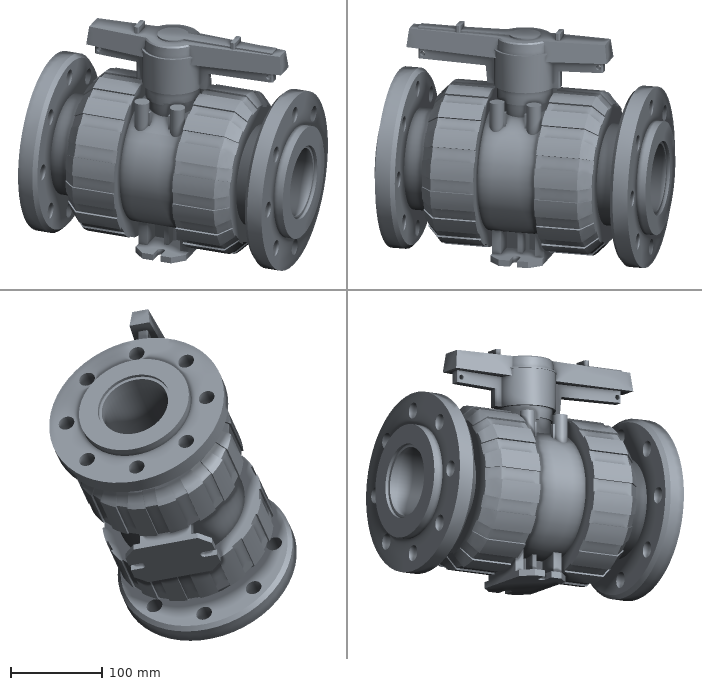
import cadquery as cq
import math


OVERALL_HEIGHT = 259.3

END_FACE_X = 154.0
COLLAR_X = 143.5
FLANGE_BACK_X = 122.3
NUT_OUTER_X = 96.7
NUT_INNER_X = 34.5

BORE_R = 38.0
END_RECESS_R = 41.3
END_RECESS_DEPTH = 3.7

PIPE_R = 56.5
COLLAR_R = 62.8
FLANGE_R = 99.95
FLANGE_CHAMFER = 4.3
BOLT_COUNT = 8
BOLT_CIRCLE_R = 80.0
BOLT_HOLE_R = 9.0

NUT_R = 91.0
NUT_CHAMFER = 13.2
NUT_SHOULDER_X = NUT_OUTER_X - NUT_CHAMFER
GROOVE_COUNT = 16
GROOVE_WIDTH = 14.5
GROOVE_DEPTH = 2.5

BODY_R = 72.0
NECK_R = 28.5
NECK_TOP_Z = 83.2
POST_R = 8.3
POST_X = 21.0
POST_Y = 40.0
POST_TOP_Z = 85.5
POST_RIB_WIDTH = 4.3
POST_RIB_TOP_Z = 74.5
POST_X_RIB_REACH = 10.2
POST_Y_RIB_REACH = 9.2
POST_Y_RIB_SHIFT = 3.0

FOOT_BOTTOM_Z = -FLANGE_R
FOOT_THICKNESS = 7.0
FOOT_HALF_X = 29.5
FOOT_HALF_Y = 49.3
FOOT_CHAMFER = 12.5
FOOT_SLOT_R = 4.3
FOOT_SLOT_DEPTH = 17.5
LEG_WIDTH = 10.2
LEG_HALF_Y = 29.0
WEB_HALF_Y = 4.5
FOOT_BOSS_R = 7.7
FOOT_RIB_WIDTH = 5.5
FOOT_RIB_HALF_Y = 20.3

STEM_R = 30.5
STEM_SKIRT_Z = 80.5
STEM_NOTCH_ANGLE = 75.0

HUB_R = 34.0
HUB_BOTTOM_Z = 95.8
BEAD_R = 34.8
BEAD_Z = 137.0
BEAD_HEIGHT = 1.5
CAP_BOTTOM_R = 32.0
CAP_TOP_R = 30.8
CAP_CHAMFER = 1.5
HANDLE_TOP_Z = 151.8
WING_BOTTOM_Z = 129.0
WING_RISE = 2.0
WING_DRAFT = 7.0
WING_ROOT_X = 26.0
WING_ROOT_HALF_Y = 19.0
SHORT_WING_X = 97.0
SHORT_WING_HALF_Y = 14.5
LONG_WING_X = 132.0
LONG_WING_HALF_Y = 11.7

RIB_WIDTH = 11.7
RIB_CHAMFER = 1.2
RIB_SHORT_X = 90.0
RIB_LONG_X = 119.8
RIB_TIP_Z = 117.5
RIB_ROOT_Z = 115.5
RIB_SHORT_ROOT_X = 41.0
RIB_LONG_ROOT_X = 43.0
RIB_LONG_FOOT_X = 41.3
RIB_HOLE_R = 2.8
RIB_HOLE_Z = 123.2
RIB_HOLE_INSET = 5.0

CLIP_TOP_Z = FOOT_BOTTOM_Z + OVERALL_HEIGHT
CLIP_LENGTH_X = 5.5
CLIP_WIDTH_Y = 19.7
CLIP_CORNER_CHAMFER = 1.2
CLIP_XS = (-39.5, 74.0)
INSERT_R = 17.2
INSERT_BAR_WIDTH = 15.5
INSERT_THICKNESS = 2.0


def x_cylinder(radius, x_start, x_end):
    """Cylinder on the flow axis between two stations."""
    return cq.Workplane("YZ").workplane(offset=x_start).circle(radius).extrude(x_end - x_start)


def z_cylinder(radius, z_start, z_end, x=0.0, y=0.0):
    """Vertical cylinder between two heights."""
    return cq.Workplane("XY").workplane(offset=z_start).center(x, y).circle(radius).extrude(z_end - z_start)


def block(x_limits, y_limits, z_limits):
    """Box given by its limits along each axis."""
    sizes = [high - low for low, high in (x_limits, y_limits, z_limits)]
    corner = (x_limits[0], y_limits[0], z_limits[0])
    return cq.Workplane("XY").box(*sizes, centered=False).translate(corner)


def other_end(shape):
    """Copy of a +X end part turned half a revolution about Z, onto the -X end."""
    return shape.rotate((0, 0, 0), (0, 0, 1), 180)


def make_end_connector():
    """Pipe that butts against the barrel and ends in a raised sealing collar."""
    connector = x_cylinder(PIPE_R, NUT_SHOULDER_X, COLLAR_X)
    connector = connector.union(x_cylinder(COLLAR_R, COLLAR_X, END_FACE_X))
    connector = connector.cut(x_cylinder(BORE_R, NUT_SHOULDER_X, END_FACE_X))
    return connector.cut(x_cylinder(END_RECESS_R, END_FACE_X - END_RECESS_DEPTH, END_FACE_X))


def make_flange():
    """Loose flange around the pipe, chamfered on its back edge, with a ring of bolt holes."""
    flange = x_cylinder(FLANGE_R, FLANGE_BACK_X, COLLAR_X).faces("<X").chamfer(FLANGE_CHAMFER)
    flange = flange.cut(x_cylinder(PIPE_R, FLANGE_BACK_X, COLLAR_X))
    bolt_holes = (
        cq.Workplane("YZ")
        .workplane(offset=FLANGE_BACK_X)
        .polarArray(BOLT_CIRCLE_R, 0, 360, BOLT_COUNT)
        .circle(BOLT_HOLE_R)
        .extrude(COLLAR_X - FLANGE_BACK_X)
    )
    return flange.cut(bolt_holes)


def make_groove_cutter():
    """Straight grip groove at the top of a nut, following the cylinder and then the chamfer."""
    floor_r = NUT_R - GROOVE_DEPTH
    profile = [
        (NUT_INNER_X, floor_r),
        (NUT_SHOULDER_X, floor_r),
        (NUT_OUTER_X, floor_r - NUT_CHAMFER),
        (NUT_OUTER_X, NUT_R),
        (NUT_INNER_X, NUT_R),
    ]
    return cq.Workplane("XZ").polyline(profile).close().extrude(GROOVE_WIDTH / 2, both=True)


def make_nut():
    """Union nut with grip grooves, gripping the barrel and retaining the pipe by its lip."""
    nut = x_cylinder(NUT_R, NUT_INNER_X, NUT_OUTER_X).faces(">X").chamfer(NUT_CHAMFER)
    nut = nut.cut(x_cylinder(BODY_R, NUT_INNER_X, NUT_SHOULDER_X))
    nut = nut.cut(x_cylinder(PIPE_R, NUT_SHOULDER_X, NUT_OUTER_X))
    groove = make_groove_cutter()
    for index in range(GROOVE_COUNT):
        nut = nut.cut(groove.rotate((0, 0, 0), (1, 0, 0), index * 360 / GROOVE_COUNT))
    return nut


def make_post(x_side, y_side):
    """Round post on the barrel with a small rib along X and an offset one along Y."""
    x = x_side * POST_X
    y = y_side * POST_Y
    half_width = POST_RIB_WIDTH / 2
    x_limits = sorted((x, x - x_side * POST_X_RIB_REACH))
    y_limits = sorted((y, y - y_side * POST_Y_RIB_REACH))
    rib_x = x + x_side * POST_Y_RIB_SHIFT
    post = z_cylinder(POST_R, 0, POST_TOP_Z, x, y)
    post = post.union(block(x_limits, (y - half_width, y + half_width), (0, POST_RIB_TOP_Z)))
    return post.union(block((rib_x - half_width, rib_x + half_width), y_limits, (0, POST_RIB_TOP_Z)))


def make_foot():
    """Mounting plate with chamfered corners and end slots, on a ribbed pedestal."""
    plate_top_z = FOOT_BOTTOM_Z + FOOT_THICKNESS
    slot_center_y = FOOT_HALF_Y - FOOT_SLOT_DEPTH + FOOT_SLOT_R
    plate = block(
        (-FOOT_HALF_X, FOOT_HALF_X), (-FOOT_HALF_Y, FOOT_HALF_Y), (FOOT_BOTTOM_Z, plate_top_z)
    )
    plate = plate.edges("|Z").chamfer(FOOT_CHAMFER)
    for side in (-1, 1):
        slot_limits = sorted((side * slot_center_y, side * FOOT_HALF_Y))
        plate = plate.cut(z_cylinder(FOOT_SLOT_R, FOOT_BOTTOM_Z, plate_top_z, 0, side * slot_center_y))
        plate = plate.cut(block((-FOOT_SLOT_R, FOOT_SLOT_R), slot_limits, (FOOT_BOTTOM_Z, plate_top_z)))

    rise = (plate_top_z, 0)
    pedestal = z_cylinder(FOOT_BOSS_R, *rise)
    pedestal = pedestal.union(block((-FOOT_HALF_X, FOOT_HALF_X), (-WEB_HALF_Y, WEB_HALF_Y), rise))
    half_rib = FOOT_RIB_WIDTH / 2
    pedestal = pedestal.union(block((-half_rib, half_rib), (-FOOT_RIB_HALF_Y, FOOT_RIB_HALF_Y), rise))
    for side in (-1, 1):
        leg_limits = sorted((side * FOOT_HALF_X, side * (FOOT_HALF_X - LEG_WIDTH)))
        pedestal = pedestal.union(block(leg_limits, (-LEG_HALF_Y, LEG_HALF_Y), rise))
    return plate.union(pedestal)


def make_housing():
    """Barrel with the neck, four posts and mounting foot, bored through along the flow axis."""
    body = x_cylinder(BODY_R, -NUT_SHOULDER_X, NUT_SHOULDER_X)
    body = body.union(z_cylinder(NECK_R, 0, NECK_TOP_Z))
    for x_side in (-1, 1):
        for y_side in (-1, 1):
            body = body.union(make_post(x_side, y_side))
    body = body.union(make_foot())
    return body.cut(x_cylinder(BORE_R, -NUT_SHOULDER_X, NUT_SHOULDER_X))


def make_stem():
    """Collar on the neck, with a skirt around the neck top that is notched to stop the turn."""
    collar = z_cylinder(STEM_R, STEM_SKIRT_Z, HUB_BOTTOM_Z)
    collar = collar.cut(z_cylinder(NECK_R, STEM_SKIRT_Z, NECK_TOP_Z))
    end_angle = math.radians(STEM_NOTCH_ANGLE - 90)
    notch_area = [
        (0, 0),
        (0, -STEM_R),
        (STEM_R, -STEM_R),
        (STEM_R, STEM_R * math.tan(end_angle)),
    ]
    notch = (
        cq.Workplane("XY")
        .workplane(offset=STEM_SKIRT_Z)
        .polyline(notch_area)
        .close()
        .extrude(NECK_TOP_Z - STEM_SKIRT_Z)
    )
    return collar.cut(notch)


def make_insert():
    """Flat keyhole-shaped plate: a disc over the hub and a bar along the long wing."""
    top_z = HANDLE_TOP_Z + INSERT_THICKNESS
    half_bar = INSERT_BAR_WIDTH / 2
    disc = z_cylinder(INSERT_R, HANDLE_TOP_Z, top_z)
    return disc.union(block((0, RIB_LONG_X), (-half_bar, half_bar), (HANDLE_TOP_Z, top_z)))


def make_hub():
    """Round hub with a bead and a tapered cap."""
    cap_bottom_z = BEAD_Z + BEAD_HEIGHT
    profile = [
        (0, HUB_BOTTOM_Z),
        (HUB_R, HUB_BOTTOM_Z),
        (HUB_R, BEAD_Z),
        (BEAD_R, BEAD_Z),
        (BEAD_R, cap_bottom_z),
        (CAP_BOTTOM_R, cap_bottom_z),
        (CAP_TOP_R, HANDLE_TOP_Z - CAP_CHAMFER),
        (CAP_TOP_R - CAP_CHAMFER, HANDLE_TOP_Z),
        (0, HANDLE_TOP_Z),
    ]
    return cq.Workplane("XZ").polyline(profile).close().revolve(360, (0, 0), (0, 1))


def make_wings():
    """Two drafted arms of unequal length whose undersides rise toward the tips."""
    outline = [
        (-SHORT_WING_X, SHORT_WING_HALF_Y),
        (-WING_ROOT_X, WING_ROOT_HALF_Y),
        (WING_ROOT_X, WING_ROOT_HALF_Y),
        (LONG_WING_X, LONG_WING_HALF_Y),
        (LONG_WING_X, -LONG_WING_HALF_Y),
        (WING_ROOT_X, -WING_ROOT_HALF_Y),
        (-WING_ROOT_X, -WING_ROOT_HALF_Y),
        (-SHORT_WING_X, -SHORT_WING_HALF_Y),
    ]
    wings = (
        cq.Workplane("XY")
        .workplane(offset=WING_BOTTOM_Z)
        .polyline(outline)
        .close()
        .extrude(HANDLE_TOP_Z - WING_BOTTOM_Z, taper=WING_DRAFT)
    )
    for root_x, tip_x in ((-WING_ROOT_X, -SHORT_WING_X), (WING_ROOT_X, LONG_WING_X)):
        underside = (
            cq.Workplane("XZ")
            .polyline([(root_x, WING_BOTTOM_Z), (tip_x, WING_BOTTOM_Z), (tip_x, WING_BOTTOM_Z + WING_RISE)])
            .close()
            .extrude(WING_ROOT_HALF_Y, both=True)
        )
        wings = wings.cut(underside)
    return wings


def make_rib():
    """Upright plate under the wings, with chamfered upright edges and a cross hole near each tip."""
    rib_top_z = WING_BOTTOM_Z + 2 * WING_RISE
    outline = [
        (-RIB_SHORT_X, rib_top_z),
        (-RIB_SHORT_X, RIB_TIP_Z),
        (-RIB_SHORT_ROOT_X, RIB_ROOT_Z),
        (-RIB_SHORT_ROOT_X, HUB_BOTTOM_Z),
        (RIB_LONG_FOOT_X, HUB_BOTTOM_Z),
        (RIB_LONG_ROOT_X, RIB_ROOT_Z),
        (RIB_LONG_X, RIB_TIP_Z),
        (RIB_LONG_X, rib_top_z),
    ]
    hole_centers = [
        (RIB_HOLE_INSET - RIB_SHORT_X, RIB_HOLE_Z),
        (RIB_LONG_X - RIB_HOLE_INSET, RIB_HOLE_Z),
    ]
    rib = cq.Workplane("XZ").polyline(outline).close().extrude(RIB_WIDTH / 2, both=True)
    rib = rib.edges("|Z").chamfer(RIB_CHAMFER)
    holes = cq.Workplane("XZ").pushPoints(hole_centers).circle(RIB_HOLE_R).extrude(RIB_WIDTH, both=True)
    return rib.cut(holes)


def make_handle(insert):
    """Hub, wings, rib and two clips; the clip on the long wing bridges the insert."""
    handle = make_hub().union(make_wings()).union(make_rib())
    half_length = CLIP_LENGTH_X / 2
    half_width = CLIP_WIDTH_Y / 2
    for x in CLIP_XS:
        clip = block(
            (x - half_length, x + half_length), (-half_width, half_width), (HANDLE_TOP_Z, CLIP_TOP_Z)
        )
        handle = handle.union(clip.edges("|Z").chamfer(CLIP_CORNER_CHAMFER))
    return handle.cut(insert)


housing = make_housing()
stem = make_stem()
insert = make_insert()
handle = make_handle(insert)

end_solids = []
for make_part in (make_end_connector, make_flange, make_nut):
    end_part = make_part()
    end_solids += [end_part.val(), other_end(end_part).val()]

result = cq.Compound.makeCompound(
    [housing.val(), stem.val(), handle.val(), insert.val(), *end_solids]
)